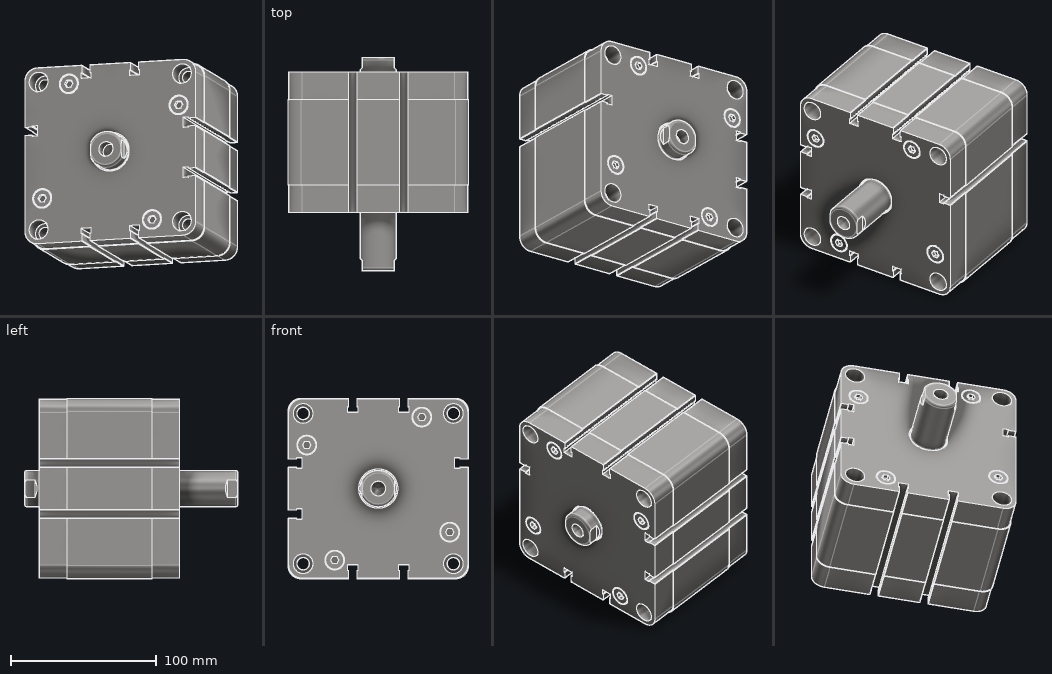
import cadquery as cq
import math


barrel_width = 124.0
cap_inset = 0.5
cap_width = barrel_width - 2 * cap_inset
cap_length = 19.0
barrel_length = 58.5
corner_radius = 9.1
body_half = barrel_length / 2 + cap_length

slot_spacing = 35.0
slot_offset = slot_spacing / 2
slot_mouth_width = 5.5
slot_inner_width = 7.0
slot_depth = 9.5
slot_lip = 5.9
slot_mouth_chamfer = 0.3
slot_floor = barrel_width / 2 - slot_depth

mount_offset = 51.5
mount_hole_diameter = 8.4
mount_bore_diameter = 13.5
mount_bore_depth = 14.6

screw_near = 29.9
screw_far = 49.1
screw_bore_diameter = 13.5
screw_head_diameter = 12.5
screw_gap_depth = 1.5
hex_across_flats = 5.0
hex_depth = 3.0

rod_diameter = 25.0
rod_front_length = 40.0
rod_rear_length = 10.0
rod_end_radius = 1.8
rod_front_y = -body_half - rod_front_length
rod_rear_y = body_half + rod_rear_length
flat_distance = 22.0
flat_length = 7.0
rod_hole_diameter = 10.1
rod_hole_depth = 14.6
drill_tip_angle = 120.0
rod_bushing_diameter = 27.0
rod_gap_depth = 1.5

slot_spots = (-slot_offset, slot_offset)
mount_points = [(x, z) for x in (-mount_offset, mount_offset) for z in (-mount_offset, mount_offset)]
screw_points = [
    (screw_near, screw_far),
    (-screw_far, screw_near),
    (-screw_near, -screw_far),
    (screw_far, -screw_near),
]


def section(y):
    """Workplane across the rod axis at position y, with local X = X, local Y = Z and normal -Y."""
    return cq.Workplane("XZ", origin=(0, y, 0))


def both_ends(shape):
    """The shape together with its mirror image at the rear end."""
    return shape.union(shape.mirror("XZ"))


def slot_cutter(block_width, offset, angle):
    """T-slot with a chamfered mouth through the top face of a block, turned about Y."""
    top = block_width / 2
    mouth = slot_mouth_width / 2
    inner = slot_inner_width / 2
    shoulder = barrel_width / 2 - slot_lip
    right_side = [
        (inner, slot_floor),
        (inner, shoulder),
        (mouth, shoulder),
        (mouth, top - slot_mouth_chamfer),
        (mouth + slot_mouth_chamfer, top),
    ]
    left_side = [(-x, z) for x, z in reversed(right_side)]
    slot = section(body_half).polyline(right_side + left_side).close().extrude(2 * body_half)
    return slot.translate((offset, 0, 0)).rotate((0, 0, 0), (0, 1, 0), angle)


def slotted_block(width, y_min, y_max):
    """Square block along Y with rounded long edges and T-slots."""
    block = section(y_max).rect(width, width).extrude(y_max - y_min).edges("|Y").fillet(corner_radius)
    for offset in slot_spots:
        for angle in (0, 180, 270):
            block = block.cut(slot_cutter(width, offset, angle))
    return block.cut(slot_cutter(width, -slot_offset, 90))


def mount_cutter():
    """Four corner holes through the body, counterbored at both ends."""
    holes = section(body_half).pushPoints(mount_points).circle(mount_hole_diameter / 2).extrude(2 * body_half)
    bores = (
        section(-body_half).pushPoints(mount_points).circle(mount_bore_diameter / 2).extrude(-mount_bore_depth)
    )
    return holes.union(both_ends(bores))


def screw_cutter():
    """Ring gap and hexagon socket of every cap screw."""
    gaps = (
        section(-body_half)
        .pushPoints(screw_points)
        .circle(screw_bore_diameter / 2)
        .circle(screw_head_diameter / 2)
        .extrude(-screw_gap_depth)
    )
    hex_diameter = hex_across_flats / math.cos(math.radians(30))
    sockets = section(-body_half).pushPoints(screw_points).polygon(6, hex_diameter).extrude(-hex_depth)
    return both_ends(gaps.union(sockets))


def rod_gap_cutter():
    """Ring gap around the rod where it leaves each cap."""
    gap = (
        section(-body_half)
        .circle(rod_bushing_diameter / 2)
        .circle(rod_diameter / 2)
        .extrude(-rod_gap_depth)
    )
    return both_ends(gap)


def flat_cutter(end_y, inward, side):
    """Wrench flat at one rod end: a cut parallel to the axis with a 45 degree run-out."""
    flat_x = flat_distance / 2
    outer_x = rod_diameter / 2
    step = outer_x - flat_x
    profile = [
        (side * flat_x, end_y),
        (side * flat_x, end_y + inward * flat_length),
        (side * outer_x, end_y + inward * (flat_length + step)),
        (side * outer_x, end_y),
    ]
    return cq.Workplane("XY").polyline(profile).close().extrude(rod_diameter / 2, both=True)


def rod_hole_cutter(end_y, inward):
    """Blind hole with a drill-point bottom in one rod end."""
    radius = rod_hole_diameter / 2
    tip_length = radius / math.tan(math.radians(drill_tip_angle / 2))
    shoulder_y = end_y + inward * rod_hole_depth
    profile = [(0, end_y), (radius, end_y), (radius, shoulder_y), (0, shoulder_y + inward * tip_length)]
    return cq.Workplane("XY").polyline(profile).close().revolve(360, (0, 0, 0), (0, 1, 0))


def make_body():
    """Barrel and caps with slots, mounting holes and screws."""
    barrel = slotted_block(barrel_width, -barrel_length / 2, barrel_length / 2)
    front_cap = slotted_block(cap_width, -body_half, -barrel_length / 2)
    body = barrel.union(both_ends(front_cap))
    return body.cut(mount_cutter()).cut(screw_cutter())


def make_rod():
    """Through rod with rounded ends, wrench flats and a blind hole at each end."""
    rod = section(rod_rear_y).circle(rod_diameter / 2).extrude(rod_rear_y - rod_front_y)
    rod = rod.faces("<Y or >Y").edges().fillet(rod_end_radius)
    for end_y, inward in ((rod_front_y, 1), (rod_rear_y, -1)):
        rod = rod.cut(rod_hole_cutter(end_y, inward))
        for side in (-1, 1):
            rod = rod.cut(flat_cutter(end_y, inward, side))
    return rod


result = make_body().cut(rod_gap_cutter()).union(make_rod())